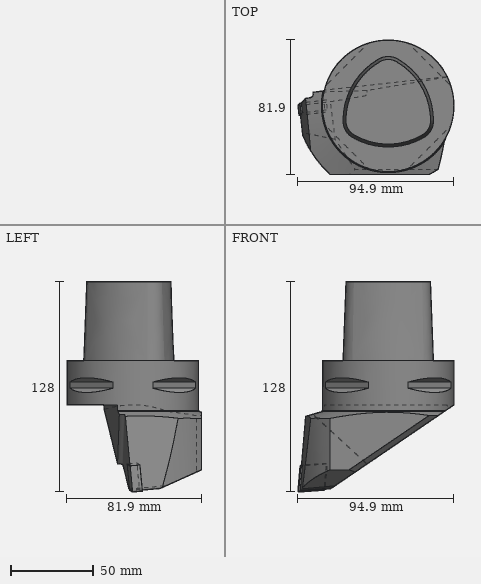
import cadquery as cq
import math


SHANK_HEIGHT = 48.0
LOBE_CENTRE_DISTANCE = 18.2
LOBE_RADIUS = 11.8
SHANK_SHRINK = 1.8

COLLAR_RADIUS = 80.0 / 2
COLLAR_REAR_HEIGHT = 27.0
COLLAR_FRONT_HEIGHT = 30.3
RING_RADIUS = 40.7
RING_HEIGHT = 0.8
SHOULDER_SLOPE = 0.29

NOTCH_COUNT = 4
NOTCH_Z = -15.0
NOTCH_FLOOR_HEIGHT = 3.7
NOTCH_MOUTH_HEIGHT = 9.0
NOTCH_DEPTH = 4.5

FRONT_Y = -41.9
FRONT_CORNER_X = -35.3
SIDE_ARC_MIDDLE = (-47.1, -27.5)
SIDE_ARC_END = (-57.0, 0)
DIAGONAL_ANGLE = 34.2
DIAGONAL_CHAMFER = 3.2
NOSE_SLOPE_ANGLE = 24.3
NOSE_SLOPE_Z = -66.4
LAND_HEIGHT = 3.1
LAND_FILLET = 1.9
STEP_START = (-48.3, -32.6)
STEP_END = (-14.1, -64.0)

LOWEST_Z = -80.0
NOSE_TRIM = 0.06
TIP = cq.Vector(-55.0, 0.1, LOWEST_Z - NOSE_TRIM)
RAKE_TILT_X = 0.11
RAKE_TILT_Z = 0.085
SIDE_EDGE_LEAN = 0.085
BOTTOM_EDGE_RISE = 0.07
INSERT_SIDE = 16.0
INSERT_THICKNESS = 6.0
NOSE_RADIUS = 0.8
SIDE_OVERHANG = 0.9
BOTTOM_OVERHANG = 0.6

OVERSIZE = 192.0
HEAD_BOTTOM = -89.6

rake_plane = cq.Plane(
    origin=TIP.toTuple(), xDir=(1, RAKE_TILT_X, 0), normal=(-RAKE_TILT_X, 1, -RAKE_TILT_Z)
)


def on_rake(x, z):
    """Local rake-plane coordinates of the rake-face point above (x, z)."""
    y = TIP.y + RAKE_TILT_X * (x - TIP.x) + RAKE_TILT_Z * (z - TIP.z)
    local = rake_plane.toLocalCoords(cq.Vector(x, y, z))
    return (local.x, local.y)


def rhombus(side, x_shift=0.0, z_shift=0.0):
    """Cutting-edge rhombus with its acute corner at the shifted tip."""
    tip_x = TIP.x + x_shift
    tip_z = TIP.z + z_shift
    corners = [
        (tip_x, tip_z),
        (tip_x + side, tip_z + side * BOTTOM_EDGE_RISE),
        (tip_x + side * (1 + SIDE_EDGE_LEAN), tip_z + side * (1 + BOTTOM_EDGE_RISE)),
        (tip_x + side * SIDE_EDGE_LEAN, tip_z + side),
    ]
    return cq.Workplane(rake_plane).polyline([on_rake(x, z) for x, z in corners]).close()


def make_shank():
    """Rounded three-arc outline of constant width, tapering upwards."""
    flat_radius = LOBE_RADIUS + LOBE_CENTRE_DISTANCE * math.sqrt(3)

    def arc_point(centre_angle, radius, normal_angle):
        x = LOBE_CENTRE_DISTANCE * math.cos(math.radians(centre_angle))
        y = LOBE_CENTRE_DISTANCE * math.sin(math.radians(centre_angle))
        x += radius * math.cos(math.radians(normal_angle))
        y += radius * math.sin(math.radians(normal_angle))
        return (x, y)

    outline = cq.Workplane("XY").moveTo(*arc_point(90, LOBE_RADIUS, 60))
    for lobe in (90, 210, 330):
        outline = outline.threePointArc(
            arc_point(lobe, LOBE_RADIUS, lobe), arc_point(lobe, LOBE_RADIUS, lobe + 30)
        )
        opposite_lobe = lobe + 240
        outline = outline.threePointArc(
            arc_point(opposite_lobe, flat_radius, lobe + 60),
            arc_point(lobe + 120, LOBE_RADIUS, lobe + 90),
        )
    taper = math.degrees(math.atan(SHANK_SHRINK / SHANK_HEIGHT))
    return outline.close().extrude(SHANK_HEIGHT, taper=taper)


def make_notch(angle):
    """Trapezoidal gripper notch running square to the given direction."""
    floor_x = COLLAR_RADIUS - NOTCH_DEPTH
    floor_half = NOTCH_FLOOR_HEIGHT / 2
    mouth_half = NOTCH_MOUTH_HEIGHT / 2
    profile = [
        (floor_x, NOTCH_Z - floor_half),
        (COLLAR_RADIUS, NOTCH_Z - mouth_half),
        (COLLAR_RADIUS, NOTCH_Z + mouth_half),
        (floor_x, NOTCH_Z + floor_half),
    ]
    notch = cq.Workplane("XZ").polyline(profile).close().extrude(COLLAR_RADIUS, both=True)
    return notch.rotate((0, 0, 0), (0, 0, 1), angle)


def make_collar():
    collar = cq.Workplane("XY").circle(COLLAR_RADIUS).extrude(-COLLAR_REAR_HEIGHT)
    for index in range(NOTCH_COUNT):
        collar = collar.cut(make_notch(45 + index * 360 / NOTCH_COUNT))
    return collar


def make_shoulder():
    """Round envelope: collar cylinder, narrow ring and conical top of the head."""
    ring_z = -COLLAR_FRONT_HEIGHT - RING_HEIGHT
    rim_z = ring_z - SHOULDER_SLOPE * (OVERSIZE - RING_RADIUS)
    profile = [
        (0, -COLLAR_REAR_HEIGHT),
        (COLLAR_RADIUS, -COLLAR_REAR_HEIGHT),
        (COLLAR_RADIUS, -COLLAR_FRONT_HEIGHT),
        (RING_RADIUS, ring_z),
        (OVERSIZE, rim_z),
        (OVERSIZE, -OVERSIZE),
        (0, -OVERSIZE),
    ]
    return cq.Workplane("XZ").polyline(profile).close().revolve(360, (0, 0, 0), (0, 1, 0))


def make_head_block():
    """Plan outline cut by the diagonal underside, whose front edge is chamfered."""
    plan = (
        cq.Workplane("XY", origin=(0, 0, -COLLAR_REAR_HEIGHT))
        .moveTo(COLLAR_RADIUS, FRONT_Y)
        .lineTo(FRONT_CORNER_X, FRONT_Y)
        .threePointArc(SIDE_ARC_MIDDLE, SIDE_ARC_END)
        .lineTo(SIDE_ARC_END[0], COLLAR_RADIUS)
        .lineTo(COLLAR_RADIUS, COLLAR_RADIUS)
        .close()
        .extrude(HEAD_BOTTOM + COLLAR_REAR_HEIGHT)
    )
    diagonal = math.radians(DIAGONAL_ANGLE)
    section_plane = cq.Plane(
        origin=(COLLAR_RADIUS, FRONT_Y, -COLLAR_REAR_HEIGHT),
        xDir=(0, 1, 0),
        normal=(math.cos(diagonal), 0, math.sin(diagonal)),
    )
    section = [
        (DIAGONAL_CHAMFER, 0),
        (OVERSIZE, 0),
        (OVERSIZE, OVERSIZE),
        (0, OVERSIZE),
        (0, DIAGONAL_CHAMFER),
    ]
    above_diagonal = (
        cq.Workplane(section_plane).polyline(section).close().extrude(OVERSIZE, both=True)
    )
    return plan.intersect(above_diagonal)


def make_nose_cut():
    """Wedge below the sloping front part of the nose."""
    drop = OVERSIZE * math.tan(math.radians(NOSE_SLOPE_ANGLE))
    profile = [
        (FRONT_Y, NOSE_SLOPE_Z),
        (FRONT_Y + OVERSIZE, NOSE_SLOPE_Z - drop),
        (FRONT_Y, NOSE_SLOPE_Z - drop),
    ]
    return cq.Workplane("YZ").polyline(profile).close().extrude(OVERSIZE, both=True)


def make_land_cut():
    """Everything behind the rear land, which is parallel to the rake face."""
    return (
        cq.Workplane(rake_plane)
        .workplane(offset=LAND_HEIGHT)
        .rect(2 * OVERSIZE, 2 * OVERSIZE)
        .extrude(OVERSIZE)
    )


def make_rake_cut():
    """Recess down to the rake face, with a filleted step along its upper side."""
    start = cq.Vector(*on_rake(*STEP_START))
    end = cq.Vector(*on_rake(*STEP_END))
    along = (end - start).normalized()
    step_plane = cq.Plane(
        origin=rake_plane.toWorldCoords(start.toTuple()).toTuple(),
        xDir=(rake_plane.xDir * along.x + rake_plane.yDir * along.y).toTuple(),
        normal=rake_plane.zDir.toTuple(),
    )
    return (
        cq.Workplane(step_plane)
        .box(2 * OVERSIZE, OVERSIZE, OVERSIZE, centered=(True, False, False))
        .translate((step_plane.yDir * -LAND_FILLET).toTuple())
        .edges(cq.selectors.NearestToPointSelector(step_plane.origin.toTuple()))
        .fillet(LAND_FILLET)
    )


def round_nose(prism, middle):
    """Round the prism edge whose middle is the given point."""
    nearest_edge = cq.selectors.NearestToPointSelector(middle.toTuple())
    return prism.edges(nearest_edge).fillet(NOSE_RADIUS)


def make_insert():
    prism = rhombus(INSERT_SIDE).extrude(-INSERT_THICKNESS)
    return round_nose(prism, TIP - rake_plane.zDir * (INSERT_THICKNESS / 2))


def make_flanks():
    """Side and bottom flanks of the nose, set back from the insert's sides."""
    prism = rhombus(OVERSIZE, SIDE_OVERHANG, BOTTOM_OVERHANG).extrude(OVERSIZE / 2, both=True)
    return round_nose(prism, TIP + cq.Vector(SIDE_OVERHANG, 0, BOTTOM_OVERHANG))


def make_holder(insert):
    head = make_head_block().intersect(make_shoulder()).intersect(make_flanks())
    for cutter in (make_nose_cut(), make_land_cut(), make_rake_cut(), insert):
        head = head.cut(cutter)
    return make_shank().union(make_collar()).union(head)


insert = make_insert()
holder = make_holder(insert)
result = cq.Compound.makeCompound([holder.solids().val(), insert.solids().val()])